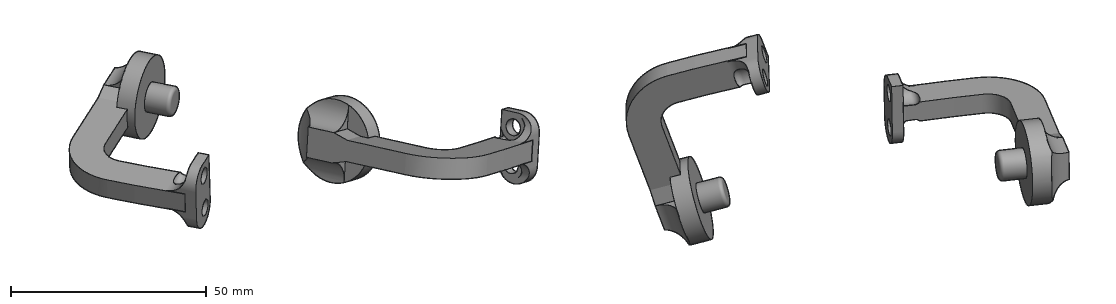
import cadquery as cq
import math

TILT_ANGLE = 4.0

DISC_RADIUS = 11.0
DISC_START_X = 6.0
DISC_END_X = 11.0
PIN_DIAMETER = 7.95
PIN_LENGTH = 6.9
PIN_END_FILLET = 1.0

BOSS_HALF = 4.0
BOSS_FLARE_RADIUS = DISC_START_X
TIP_FLARE_X = 4.5
TIP_FLARE_Y = 7.1

ARM_WIDTH = 8.9
ARM_HALF_HEIGHT = 2.8
ARM_REACH = 41.55
BEND_OUTER_RADIUS = 15.0
BEND_INNER_RADIUS = BEND_OUTER_RADIUS - ARM_WIDTH
KINK_X = 22.4
KINK_ANGLE = 1.7
TAPER_LENGTH = 4.25

PLATE_START_X = 36.0
PLATE_END_X = 38.98
PLATE_OUTER_Y = -41.0
PLATE_INNER_Y = -31.0
PLATE_TOP_Z = 9.0
PLATE_ROUND_RADIUS = (PLATE_INNER_Y - PLATE_OUTER_Y) / 2
PLATE_ROUND_CENTER_Z = -4.7
PLATE_FILLET = 5.0
PLATE_SIDE_FILLET = 1.0
HOLE_DIAMETER = 4.4
HOLE_Y = -34.83
HOLE_OFFSET_Z = 5.0
RELIEF_RADIUS = 3.75
RELIEF_END_ROUND = 1.75


def cylinder_along_x(radius, start_x, end_x, y=0.0, z=0.0):
    """Cylinder parallel to X between two X positions."""
    return cq.Workplane("YZ", origin=(start_x, y, z)).circle(radius).extrude(end_x - start_x)


def make_disc_and_pin():
    disc = cylinder_along_x(DISC_RADIUS, DISC_START_X, DISC_END_X)
    pin = cylinder_along_x(PIN_DIAMETER / 2, DISC_END_X, DISC_END_X + PIN_LENGTH)
    pin = pin.faces(">X").edges().fillet(PIN_END_FILLET)
    return disc.union(pin)


def make_boss():
    """Square boss with concave flares above, below and at the tip, kept inside the disc rim."""
    flare_end_z = BOSS_HALF + BOSS_FLARE_RADIUS
    arc_depth = BOSS_FLARE_RADIUS * math.sin(math.radians(45))
    side_mid = (arc_depth, flare_end_z - arc_depth)
    side_profile = (
        cq.Workplane("XZ", origin=(0, DISC_RADIUS, 0))
        .moveTo(0, -BOSS_HALF)
        .lineTo(0, BOSS_HALF)
        .threePointArc(side_mid, (DISC_START_X, flare_end_z))
        .lineTo(DISC_START_X, -flare_end_z)
        .threePointArc((side_mid[0], -side_mid[1]), (0, -BOSS_HALF))
        .close()
        .extrude(DISC_RADIUS + BOSS_HALF)
    )
    tip_profile = (
        cq.Workplane("XY")
        .moveTo(0, -BOSS_HALF)
        .lineTo(0, BOSS_HALF)
        .threePointArc((TIP_FLARE_X, TIP_FLARE_Y), (DISC_START_X, DISC_RADIUS))
        .lineTo(DISC_START_X, -BOSS_HALF)
        .close()
        .extrude(DISC_RADIUS, both=True)
    )
    rim = cylinder_along_x(DISC_RADIUS, 0, DISC_START_X)
    return side_profile.intersect(tip_profile).intersect(rim)


def make_taper():
    """Wedge that brings the boss height down to the arm height."""
    taper_end_y = -BOSS_HALF - TAPER_LENGTH
    return (
        cq.Workplane("YZ")
        .polyline([
            (-BOSS_HALF, BOSS_HALF),
            (taper_end_y, ARM_HALF_HEIGHT),
            (taper_end_y, -ARM_HALF_HEIGHT),
            (-BOSS_HALF, -BOSS_HALF),
        ])
        .close()
        .extrude(DISC_START_X)
    )


def arm_inner_y(x):
    """Y of the inner face of the arm between the kink and the plate."""
    return -ARM_REACH + ARM_WIDTH + (x - KINK_X) * math.tan(math.radians(KINK_ANGLE))


def make_arm():
    """L-shaped bar with a round bend and a slight kink before the mounting plate."""
    bend_y = -ARM_REACH + BEND_OUTER_RADIUS
    bend_x = BEND_OUTER_RADIUS
    diagonal = math.sin(math.radians(45))
    outer_mid = (bend_x - BEND_OUTER_RADIUS * diagonal, bend_y - BEND_OUTER_RADIUS * diagonal)
    inner_mid = (bend_x - BEND_INNER_RADIUS * diagonal, bend_y - BEND_INNER_RADIUS * diagonal)
    return (
        cq.Workplane("XY")
        .moveTo(0, -BOSS_HALF)
        .lineTo(0, bend_y)
        .threePointArc(outer_mid, (bend_x, -ARM_REACH))
        .lineTo(KINK_X, -ARM_REACH)
        .lineTo(PLATE_START_X, arm_inner_y(PLATE_START_X) - ARM_WIDTH)
        .lineTo(PLATE_START_X, arm_inner_y(PLATE_START_X))
        .lineTo(KINK_X, arm_inner_y(KINK_X))
        .lineTo(bend_x, arm_inner_y(KINK_X))
        .threePointArc(inner_mid, (ARM_WIDTH, bend_y))
        .lineTo(ARM_WIDTH, -BOSS_HALF)
        .close()
        .extrude(ARM_HALF_HEIGHT, both=True)
    )


def plate_prism(start_x, end_x):
    """Plate outline: square upper inner corner, round upper outer corner, fully round lower end."""
    center_y = (PLATE_OUTER_Y + PLATE_INNER_Y) / 2
    upper_center_z = PLATE_TOP_Z - PLATE_ROUND_RADIUS
    diagonal = PLATE_ROUND_RADIUS * math.sin(math.radians(45))
    return (
        cq.Workplane("YZ", origin=(start_x, 0, 0))
        .moveTo(PLATE_INNER_Y, PLATE_ROUND_CENTER_Z)
        .lineTo(PLATE_INNER_Y, PLATE_TOP_Z)
        .lineTo(center_y, PLATE_TOP_Z)
        .threePointArc((center_y - diagonal, upper_center_z + diagonal), (PLATE_OUTER_Y, upper_center_z))
        .lineTo(PLATE_OUTER_Y, PLATE_ROUND_CENTER_Z)
        .threePointArc(
            (center_y, PLATE_ROUND_CENTER_Z - PLATE_ROUND_RADIUS),
            (PLATE_INNER_Y, PLATE_ROUND_CENTER_Z),
        )
        .close()
        .extrude(end_x - start_x)
    )


def make_plate():
    """Mounting plate with concave fillets running back onto the arm."""
    fillet_start_x = PLATE_START_X - PLATE_FILLET
    fillet_end_z = ARM_HALF_HEIGHT + PLATE_FILLET
    arc_depth = PLATE_FILLET * math.sin(math.radians(45))
    mid_x = fillet_start_x + arc_depth
    mid_z = fillet_end_z - arc_depth
    fillet_profile = (
        cq.Workplane("XZ")
        .moveTo(fillet_start_x, -ARM_HALF_HEIGHT)
        .lineTo(fillet_start_x, ARM_HALF_HEIGHT)
        .threePointArc((mid_x, mid_z), (PLATE_START_X, fillet_end_z))
        .lineTo(PLATE_START_X, -fillet_end_z)
        .threePointArc((mid_x, -mid_z), (fillet_start_x, -ARM_HALF_HEIGHT))
        .close()
        .extrude(-PLATE_OUTER_Y)
    )
    side_start_x = PLATE_START_X - PLATE_SIDE_FILLET
    side_start_y = arm_inner_y(side_start_x)
    side_depth = PLATE_SIDE_FILLET * math.sin(math.radians(45))
    side_profile = (
        cq.Workplane("XY")
        .moveTo(fillet_start_x, PLATE_OUTER_Y)
        .lineTo(fillet_start_x, arm_inner_y(fillet_start_x))
        .lineTo(side_start_x, side_start_y)
        .threePointArc(
            (side_start_x + side_depth, side_start_y + PLATE_SIDE_FILLET - side_depth),
            (PLATE_START_X, side_start_y + PLATE_SIDE_FILLET),
        )
        .lineTo(PLATE_START_X, PLATE_OUTER_Y)
        .close()
        .extrude(fillet_end_z, both=True)
    )
    fillet_body = plate_prism(fillet_start_x, PLATE_START_X).intersect(fillet_profile).intersect(side_profile)
    return plate_prism(PLATE_START_X, PLATE_END_X).union(fillet_body)


def mounting_hole_cutter(z):
    """Through hole plus the round-ended relief that clears the fillet in front of it."""
    relief_start_x = PLATE_START_X - PLATE_FILLET
    relief = cylinder_along_x(RELIEF_RADIUS, relief_start_x, PLATE_START_X, HOLE_Y, z)
    relief = relief.faces("<X").edges().fillet(RELIEF_END_ROUND)
    hole = cylinder_along_x(HOLE_DIAMETER / 2, relief_start_x, PLATE_END_X, HOLE_Y, z)
    return relief.union(hole)


def corner_clearance_cutter():
    """Block that clears the fillet from the square upper corner of the plate."""
    return cq.Workplane("XY").box(
        PLATE_FILLET,
        PLATE_INNER_Y - HOLE_Y,
        PLATE_TOP_Z - HOLE_OFFSET_Z,
        centered=False,
    ).translate((PLATE_START_X - PLATE_FILLET, HOLE_Y, HOLE_OFFSET_Z))


lever = make_disc_and_pin().union(make_boss()).union(make_taper()).union(make_arm()).union(make_plate())
for hole_z in (HOLE_OFFSET_Z, -HOLE_OFFSET_Z):
    lever = lever.cut(mounting_hole_cutter(hole_z))
lever = lever.cut(corner_clearance_cutter())

result = lever.rotate((0, 0, 0), (1, 0, 0), TILT_ANGLE)